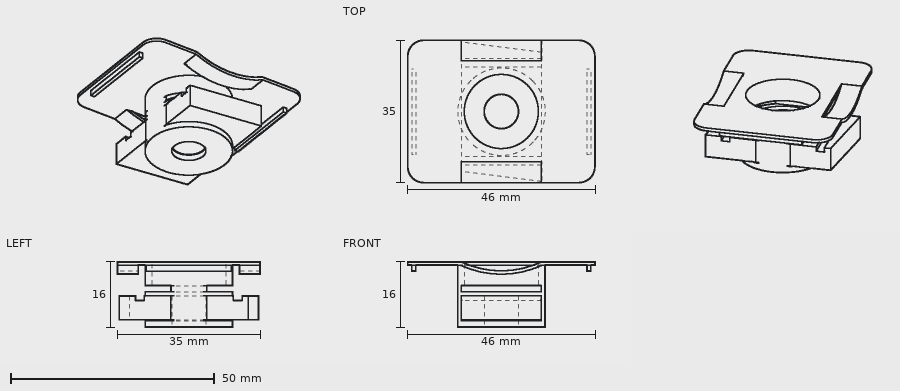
import cadquery as cq
import math

plate_length = 46.0
plate_width = 35.0
plate_thickness = 0.85
corner_radius = 4.0

total_height = 16.0
socket_diameter = 21.5
bore_diameter = 18.2
hole_diameter = 8.35

tongue_length = 19.6
tongue_width = 5.1
tongue_sag = 2.2
tongue_half_length = tongue_length / 2
tongue_inner_radius = (tongue_half_length**2 + tongue_sag**2) / (2 * tongue_sag)
tongue_outer_radius = tongue_inner_radius + plate_thickness
tongue_center_z = tongue_inner_radius - tongue_sag
tongue_lower_half_length = math.sqrt(tongue_outer_radius**2 - (tongue_center_z + plate_thickness) ** 2)

rib_thickness = 1.0
rib_length = 20.9
rib_height = 1.43
rib_inset = 1.0

slot_top = -5.85
slot_bottom = -7.3
pocket_top = -8.33
pocket_bottom = -14.45

opening_width = tongue_length
block_bottom = -14.25
block_long_reach = 17.1
block_short_reach = 14.65
groove_inner = 10.95
groove_width = 2.1
groove_depth = 1.15


def cylinder(diameter, top, bottom):
    """Vertical cylinder about the Z axis."""
    return cq.Workplane("XY").workplane(offset=bottom).circle(diameter / 2).extrude(top - bottom)


def box_between(length, width, top, bottom):
    """Box centred on the Z axis between two heights."""
    return cq.Workplane("XY").workplane(offset=bottom).rect(length, width).extrude(top - bottom)


def tongue_start(side):
    """Vertical workplane across the middle of the tongue at the Y edge given by side."""
    return cq.Workplane("XZ", origin=(0, side * (plate_width - tongue_width) / 2, 0))


def tongue(side):
    """Arched strip of plate thickness, bowed downwards between two concentric arcs."""
    return (
        tongue_start(side)
        .moveTo(-tongue_half_length, 0)
        .threePointArc((0, -tongue_sag), (tongue_half_length, 0))
        .lineTo(tongue_lower_half_length, -plate_thickness)
        .threePointArc((0, -tongue_sag - plate_thickness), (-tongue_lower_half_length, -plate_thickness))
        .close()
        .extrude(tongue_width / 2, both=True)
    )


def tongue_window(side):
    """Plate material displaced by a tongue, with ends slanted like those of the tongue."""
    return (
        tongue_start(side)
        .moveTo(-tongue_half_length, 0)
        .lineTo(tongue_half_length, 0)
        .lineTo(tongue_lower_half_length, -plate_thickness)
        .lineTo(-tongue_lower_half_length, -plate_thickness)
        .close()
        .extrude(tongue_width / 2, both=True)
    )


def rib(side):
    """Short rib under the X edge given by side."""
    middle_x = side * (plate_length / 2 - rib_inset - rib_thickness / 2)
    bottom = -plate_thickness - rib_height
    return box_between(rib_thickness, rib_length, -plate_thickness, bottom).translate((middle_x, 0, 0))


def make_housing():
    """Plate with tongues and ribs, and the slotted socket below it."""
    body = box_between(plate_length, plate_width, 0, -plate_thickness)
    body = body.edges("|Z").fillet(corner_radius)
    for side in (-1, 1):
        body = body.cut(tongue_window(side)).union(tongue(side)).union(rib(side))
    body = body.union(cylinder(socket_diameter, -plate_thickness, -total_height))
    body = body.cut(cylinder(bore_diameter, 0, pocket_top))
    body = body.cut(cylinder(hole_diameter, 0, -total_height))
    body = body.cut(box_between(opening_width, socket_diameter, slot_top, slot_bottom))
    return body.cut(box_between(opening_width, socket_diameter, pocket_top, pocket_bottom))


def make_block():
    """Pierced block with parallel slanted ends and a groove near each end."""
    half_width = opening_width / 2
    body = (
        cq.Workplane("XY")
        .workplane(offset=block_bottom)
        .moveTo(-half_width, -block_short_reach)
        .lineTo(half_width, -block_long_reach)
        .lineTo(half_width, block_short_reach)
        .lineTo(-half_width, block_long_reach)
        .close()
        .extrude(pocket_top - block_bottom)
    )
    body = body.cut(cylinder(hole_diameter, pocket_top, block_bottom))
    groove = box_between(opening_width, groove_width, pocket_top, pocket_top - groove_depth)
    for side in (-1, 1):
        body = body.cut(groove.translate((0, side * (groove_inner + groove_width / 2), 0)))
    return body


housing = make_housing()
block = make_block()
result = cq.Compound.makeCompound([*housing.solids().vals(), *block.solids().vals()])